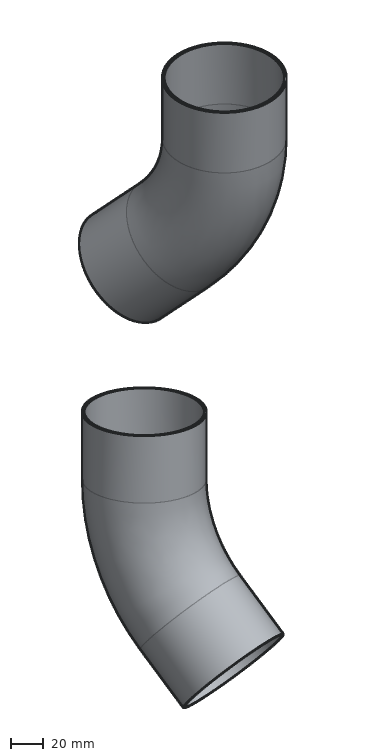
import cadquery as cq
import math

outer_diameter = 76.2
wall = 1.5
leg_length = 44.5
bend_radius = 114.7
bend_angle = 45.0

outer_radius = outer_diameter / 2
inner_radius = outer_radius - wall


def on_bend(angle):
    """Centreline point after turning by the given angle from vertical."""
    turn = math.radians(angle)
    return (bend_radius * (math.cos(turn) - 1), -bend_radius * math.sin(turn))


bend_end = on_bend(bend_angle)
exit_angle = math.radians(bend_angle)
lower_end = (
    bend_end[0] - leg_length * math.sin(exit_angle),
    bend_end[1] - leg_length * math.cos(exit_angle),
)
centreline = (
    cq.Workplane("XZ")
    .moveTo(0, leg_length)
    .lineTo(0, 0)
    .threePointArc(on_bend(bend_angle / 2), bend_end)
    .lineTo(*lower_end)
)

result = (
    cq.Workplane("XY")
    .workplane(offset=leg_length)
    .circle(outer_radius)
    .circle(inner_radius)
    .sweep(centreline)
)